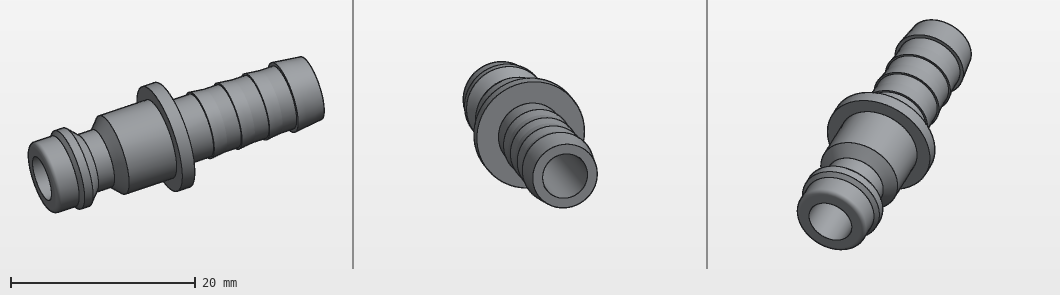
import cadquery as cq


total_length = 32.0
bore_radius = 2.5

flange_radius = 6.0
flange_thickness = 1.5

plug_radius = 4.5
neck_radius = 3.3
tip_radius = 4.05
tip_fillet = 0.5
tip_length = 2.6
collar_length = 1.0
neck_length = 1.9
neck_taper = plug_radius - neck_radius
tip_taper = plug_radius - tip_radius

hose_radius = 3.6
barb_radius = 3.8
end_barb_radius = 4.0
barb_count = 3
barb_length = 1.65
barb_pitch = 2 * barb_length
end_barb_length = 2 * barb_length
root_length = 2 * barb_length
tail_length = root_length + barb_count * barb_pitch + end_barb_length

collar_start = tip_length + tip_taper
collar_end = collar_start + collar_length
neck_start = collar_end + neck_taper
neck_end = neck_start + neck_length
body_start = neck_end + neck_taper
flange_end = total_length - tail_length
flange_start = flange_end - flange_thickness
end_barb_start = total_length - end_barb_length


def revolve_profile(points):
    """Turn a closed outline of (radius, y) points about the Y axis."""
    outline = [(-radius, y) for radius, y in points]
    return cq.Workplane("XY").polyline(outline).close().revolve(360, (0, 0), (0, 1))


def coupling_plug_and_flange():
    plug = revolve_profile([
        (0, 0),
        (tip_radius, 0),
        (tip_radius, tip_length),
        (plug_radius, collar_start),
        (plug_radius, collar_end),
        (neck_radius, neck_start),
        (neck_radius, neck_end),
        (plug_radius, body_start),
        (plug_radius, flange_start),
        (flange_radius, flange_start),
        (flange_radius, flange_end),
        (0, flange_end),
    ])
    return plug.faces("<Y").edges().fillet(tip_fillet)


def barbed_tail():
    points = [(0, flange_end), (hose_radius, flange_end)]
    for index in range(barb_count):
        shoulder = flange_end + root_length + index * barb_pitch
        points += [
            (hose_radius, shoulder),
            (barb_radius, shoulder),
            (hose_radius, shoulder + barb_length),
        ]
    points += [
        (hose_radius, end_barb_start),
        (end_barb_radius, end_barb_start),
        (hose_radius, total_length),
        (0, total_length),
    ]
    return revolve_profile(points)


def bore():
    return revolve_profile([
        (0, 0),
        (bore_radius, 0),
        (bore_radius, total_length),
        (0, total_length),
    ])


result = coupling_plug_and_flange().union(barbed_tail()).cut(bore())